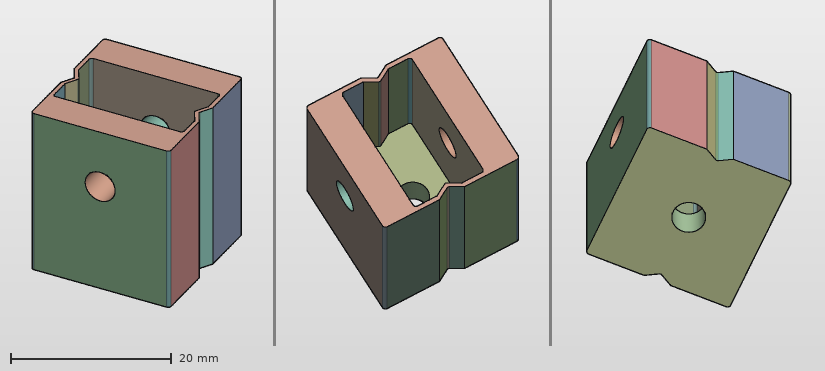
import cadquery as cq
import math

side = 19.5
height = 23.0
corner_radius = 0.44

pocket_width_y = 10.0
thin_wall = 0.62
pocket_corner_radius = 0.4
floor_thickness = (side - pocket_width_y) / 2

groove_half_width = 1.8
groove_flank_angle = 30.0
groove_tip_radius = 0.32
groove_depth = groove_half_width * math.tan(math.radians(groove_flank_angle))

hole_diameter = 4.2
cross_hole_below_top = 8.0


def grooved_prism(size_x, size_y, length, corner, tip_radius):
    """Rounded rectangular prism with a vertical V groove in each X side."""
    prism = cq.Workplane("XY").box(size_x, size_y, length, centered=(True, True, False))
    prism = prism.edges("|Z").fillet(corner)
    for direction in (-1, 1):
        face_x = direction * size_x / 2
        tip_x = face_x - direction * groove_depth
        groove = (
            cq.Workplane("XY")
            .moveTo(face_x, -groove_half_width)
            .lineTo(tip_x, 0)
            .lineTo(face_x, groove_half_width)
            .close()
            .extrude(length)
        )
        tip_side = "<X" if direction > 0 else ">X"
        groove = groove.edges("|Z").edges(tip_side).fillet(tip_radius)
        prism = prism.cut(groove)
    return prism


body = grooved_prism(side, side, height, corner_radius, groove_tip_radius)
pocket = grooved_prism(
    side - 2 * thin_wall,
    pocket_width_y,
    height - floor_thickness,
    pocket_corner_radius,
    groove_tip_radius,
).translate((0, 0, floor_thickness))

floor_hole = cq.Workplane("XY").circle(hole_diameter / 2).extrude(floor_thickness)

cross_hole = (
    cq.Workplane("XZ")
    .center(0, height - cross_hole_below_top)
    .circle(hole_diameter / 2)
    .extrude(side / 2, both=True)
)

result = body.cut(pocket).cut(floor_hole).cut(cross_hole)